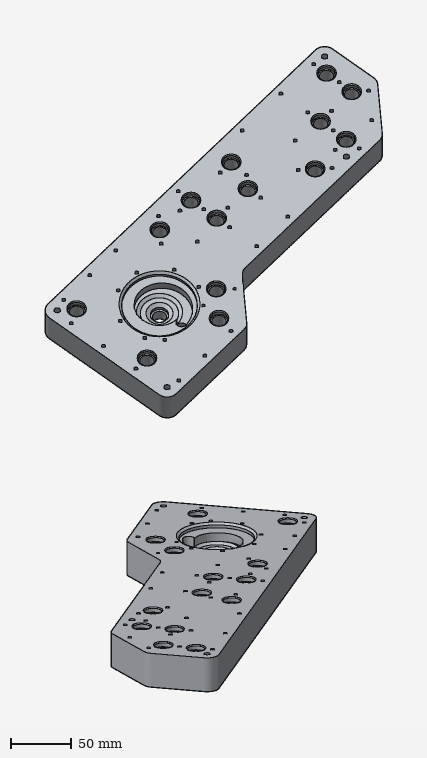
import cadquery as cq
import math

LENGTH = 360.0
FOOT_WIDTH = 140.0
ARM_WIDTH = 100.0
THICKNESS = 30.0
CORNER_RADIUS = 10.0
FOOT_SHOULDER_Y = 100.0
FOOT_SLOPE = FOOT_WIDTH - ARM_WIDTH
TIP_SLOPE = 41.0

BEARING_SEAT_RADIUS = 7.2
BEARING_BORE_DIAMETER = 12.0
BEARING_SEAT_DEPTH = 4.5
BEARING_CHAMFER = 0.9
BEARING_PITCH = 28.0
IDLER_PITCH = 39.5

SCREW_DIAMETER = 3.05
SMALL_SCREW_DIAMETER = 2.5
DOWEL_DIAMETER = 5.0
SCREW_OFFSET = BEARING_PITCH / 2
SCREW_MARGIN = 7.2
DOWEL_MARGIN = 10.0
ARM_DOWEL_Y = 284.5

HUB_X = FOOT_WIDTH / 2
HUB_Y = 70.2
RECESS_RADIUS = 31.5
RECESS_RIM_RADIUS = 33.5
RECESS_CHAMFER_Z = 28.0
RECESS_FLOOR_Z = 25.5
UPPER_CONE_TOP_RADIUS = 19.0
UPPER_CONE_BOTTOM_RADIUS = 16.0
SPIRAL_FLOOR_Z = 18.0
UPPER_CONE_FLOOR_Z = 16.2
LOWER_CONE_TOP_RADIUS = 11.0
HUB_SEAT_RADIUS = 7.5
LOWER_CONE_FLOOR_Z = 14.0
HUB_SEAT_FLOOR_Z = 11.0
HUB_BORE_RADIUS = 5.8

SPIRAL_START_ANGLE = math.radians(-90)
SPIRAL_SWEEP = math.radians(270)
SPIRAL_END_RADIUS = 28.8
SPIRAL_GROWTH = SPIRAL_END_RADIUS - UPPER_CONE_TOP_RADIUS
OUTLET_DIAMETER = 9.5
OUTLET_X = HUB_X + UPPER_CONE_TOP_RADIUS + SPIRAL_GROWTH / 2

UPPER_X = 22.5
UPPER_Y = 297.7
UPPER_MIDDLE_X = UPPER_X + BEARING_PITCH
UPPER_RIGHT_X = UPPER_MIDDLE_X + BEARING_PITCH
LOWER_X = 21.2
LOWER_Y = 167.0
LOWER_MIDDLE_X = LOWER_X + BEARING_PITCH
FOOT_BEARING_Y = 21.5
BEARINGS = [
    (UPPER_X, 338.0, (0, 180)),
    (UPPER_MIDDLE_X, UPPER_Y + IDLER_PITCH, (45,)),
    (UPPER_MIDDLE_X, UPPER_Y, (0, 90, 180)),
    (UPPER_RIGHT_X, UPPER_Y, (0, 270)),
    (UPPER_RIGHT_X, UPPER_Y - IDLER_PITCH, (45, 225)),
    (LOWER_X, 218.0, (270,)),
    (LOWER_MIDDLE_X, LOWER_Y + IDLER_PITCH, (0, 135)),
    (LOWER_MIDDLE_X, LOWER_Y, (0, 90)),
    (LOWER_X, LOWER_Y, (0, 180, 270)),
    (LOWER_X, LOWER_Y - IDLER_PITCH, (135, 315)),
    (95.8, 112.5, ()),
    (117.0, 91.0, ()),
    (LOWER_X, FOOT_BEARING_Y, (180,)),
    (HUB_X + BEARING_PITCH, FOOT_BEARING_Y, (270,)),
]

FOOT_EDGE_SCREW_YS = [54.7, 88.0]
LEFT_EDGE_SCREW_YS = FOOT_EDGE_SCREW_YS + [248.5, UPPER_Y]
RIGHT_EDGE_SCREW_YS = FOOT_EDGE_SCREW_YS + [FOOT_BEARING_Y]
ARM_EDGE_SCREW_YS = [LOWER_Y, LOWER_Y + IDLER_PITCH]
BOTTOM_EDGE_SCREWS = [(27.5, 7.5), (62.5, 7.5)]
INNER_SCREWS = [(81.7, 326.0), (47.0, 269.3), (52.5, 138.5)]
SMALL_SCREWS = [(107.3, 122.5), (98.5, 92.5)]

HUB_PAIR_DX = 13.5
HUB_PAIR_DY = 34.2
HUB_LEFT_DX = -35.0
HUB_LEFT_DY = 12.0
HUB_SINGLE_SCREW = (97.2, 45.5)


def plate():
    outline = [
        (0, 0),
        (FOOT_WIDTH, 0),
        (FOOT_WIDTH, FOOT_SHOULDER_Y),
        (ARM_WIDTH, FOOT_SHOULDER_Y + FOOT_SLOPE),
        (ARM_WIDTH, LENGTH - TIP_SLOPE),
        (ARM_WIDTH - TIP_SLOPE, LENGTH),
        (0, LENGTH),
    ]
    body = cq.Workplane("XY").polyline(outline).close().extrude(THICKNESS)
    return body.edges("|Z").fillet(CORNER_RADIUS)


def turned_cutter(wall):
    """Solid of revolution about Z whose wall runs through (radius, z) points from bottom to top."""
    profile = [(0, 0)] + wall + [(0, THICKNESS)]
    return cq.Workplane("XZ").polyline(profile).close().revolve(360, (0, 0), (0, 1))


def bearing_cutter():
    bore_radius = BEARING_BORE_DIAMETER / 2
    shoulder_z = THICKNESS - BEARING_SEAT_DEPTH
    return turned_cutter([
        (bore_radius, 0),
        (bore_radius, shoulder_z),
        (BEARING_SEAT_RADIUS, shoulder_z),
        (BEARING_SEAT_RADIUS, THICKNESS - BEARING_CHAMFER),
        (BEARING_SEAT_RADIUS + BEARING_CHAMFER, THICKNESS),
    ])


def hub_cutter():
    return turned_cutter([
        (HUB_BORE_RADIUS, 0),
        (HUB_BORE_RADIUS, HUB_SEAT_FLOOR_Z),
        (HUB_SEAT_RADIUS, HUB_SEAT_FLOOR_Z),
        (HUB_SEAT_RADIUS, LOWER_CONE_FLOOR_Z),
        (LOWER_CONE_TOP_RADIUS, UPPER_CONE_FLOOR_Z),
        (UPPER_CONE_BOTTOM_RADIUS, UPPER_CONE_FLOOR_Z),
        (UPPER_CONE_TOP_RADIUS, SPIRAL_FLOOR_Z),
        (UPPER_CONE_TOP_RADIUS, RECESS_FLOOR_Z),
        (RECESS_RADIUS, RECESS_FLOOR_Z),
        (RECESS_RADIUS, RECESS_CHAMFER_Z),
        (RECESS_RIM_RADIUS, THICKNESS),
    ])


def spiral_point(t):
    """Point on the channel wall, for t from 0 at the cone rim to 1 at the outlet."""
    radius = UPPER_CONE_TOP_RADIUS + SPIRAL_GROWTH * t
    angle = SPIRAL_START_ANGLE - SPIRAL_SWEEP * t
    return (HUB_X + radius * math.cos(angle), HUB_Y + radius * math.sin(angle))


def spiral_cutter():
    """Channel that widens clockwise around the hub, up to the recess floor."""
    return (
        cq.Workplane("XY", origin=(0, 0, SPIRAL_FLOOR_Z))
        .moveTo(HUB_X, HUB_Y)
        .lineTo(*spiral_point(0))
        .parametricCurve(spiral_point, N=40, makeWire=False)
        .close()
        .extrude(RECESS_FLOOR_Z - SPIRAL_FLOOR_Z)
    )


def through_holes(points, diameter):
    return cq.Workplane("XY").pushPoints(points).circle(diameter / 2).extrude(THICKNESS)


def bearing_screws():
    points = []
    for x, y, directions in BEARINGS:
        for direction in directions:
            angle = math.radians(direction)
            points.append((x + SCREW_OFFSET * math.cos(angle), y + SCREW_OFFSET * math.sin(angle)))
    return points


def cover_screws():
    left = [(SCREW_MARGIN, y) for y in LEFT_EDGE_SCREW_YS]
    right = [(FOOT_WIDTH - SCREW_MARGIN, y) for y in RIGHT_EDGE_SCREW_YS]
    arm = [(ARM_WIDTH - SCREW_MARGIN, y) for y in ARM_EDGE_SCREW_YS]
    return left + right + arm + BOTTOM_EDGE_SCREWS + INNER_SCREWS


def hub_screws():
    points = [HUB_SINGLE_SCREW]
    for end in (-1, 1):
        points.append((HUB_X + HUB_LEFT_DX, HUB_Y + end * HUB_LEFT_DY))
        for side in (-1, 1):
            points.append((HUB_X + side * HUB_PAIR_DX, HUB_Y + end * HUB_PAIR_DY))
    return points


def dowels():
    return [
        (DOWEL_MARGIN, DOWEL_MARGIN),
        (FOOT_WIDTH - DOWEL_MARGIN, DOWEL_MARGIN),
        (DOWEL_MARGIN, LENGTH - DOWEL_MARGIN),
        (ARM_WIDTH - DOWEL_MARGIN, ARM_DOWEL_Y),
    ]


result = plate()

result = result.cut(hub_cutter().translate((HUB_X, HUB_Y, 0)))
result = result.cut(spiral_cutter())
result = result.cut(through_holes([(OUTLET_X, HUB_Y)], OUTLET_DIAMETER))

for bearing_x, bearing_y, _ in BEARINGS:
    result = result.cut(bearing_cutter().translate((bearing_x, bearing_y, 0)))

for screw_points in (bearing_screws(), cover_screws(), hub_screws()):
    for screw_point in screw_points:
        result = result.cut(through_holes([screw_point], SCREW_DIAMETER))
result = result.cut(through_holes(SMALL_SCREWS, SMALL_SCREW_DIAMETER))
result = result.cut(through_holes(dowels(), DOWEL_DIAMETER))
result = cq.Workplane(result.solids().val())